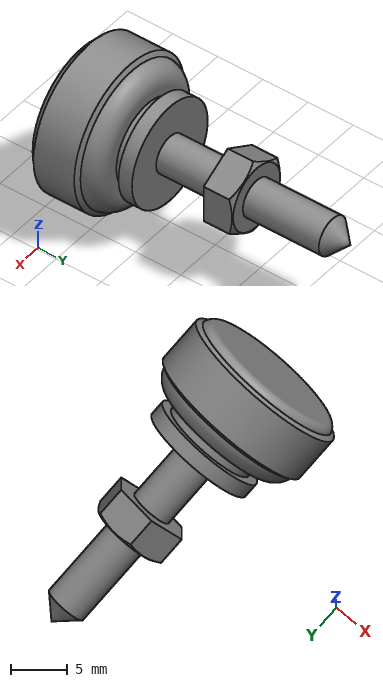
import cadquery as cq
import math


core_radius = 7.5
core_length = 7.5
end_round = 1.0
shoulder_round = 2.0

band_radius = 8.0
band_start = 0.7
band_end = 5.8
band_bevel_angle = math.radians(30)

neck_radius = 4.5
neck_length = 1.0
flange_radius = 5.5
flange_length = 1.5

stud_radius = 2.0
overall_length = 30.0

nut_sides = 6
nut_across_flats = 7.0
nut_thickness = 3.2
nut_start = 16.4
nut_bevel_angle = math.radians(30)
nut_face_radius = 3.4

neck_end = core_length + neck_length
flange_end = neck_end + flange_length
point_start = overall_length - stud_radius
nut_end = nut_start + nut_thickness

AXIS_START = (0, 0, 0)
AXIS_END = (0, 1, 0)


def revolve_about_y(outline):
    return outline.close().revolve(360, AXIS_START, AXIS_END)


def cylinder(radius, start, end):
    """Cylinder along Y between two stations."""
    return revolve_about_y(
        cq.Workplane("XY")
        .moveTo(0, start)
        .lineTo(radius, start)
        .lineTo(radius, end)
        .lineTo(0, end)
    )


def make_core():
    core = cylinder(core_radius, 0, core_length)
    core = core.faces("<Y").edges().fillet(end_round)
    return core.faces(">Y").edges().fillet(shoulder_round)


def make_band():
    bevel_length = (band_radius - core_radius) * math.tan(band_bevel_angle)

    start_radius = core_radius - end_round + math.sqrt(
        end_round**2 - (end_round - band_start) ** 2
    )
    end_radius = core_radius - shoulder_round + math.sqrt(
        shoulder_round**2 - (band_end - core_length + shoulder_round) ** 2
    )
    return revolve_about_y(
        cq.Workplane("XY")
        .moveTo(0, band_start)
        .lineTo(start_radius, band_start)
        .lineTo(band_radius, band_start + bevel_length)
        .lineTo(band_radius, band_end - bevel_length)
        .lineTo(end_radius, band_end)
        .lineTo(0, band_end)
    )


def make_stud():
    return revolve_about_y(
        cq.Workplane("XY")
        .moveTo(0, flange_end)
        .lineTo(stud_radius, flange_end)
        .lineTo(stud_radius, point_start)
        .lineTo(0, overall_length)
    )


def make_knob_screw():
    """Knob, neck, flange and stud as one solid."""
    neck = cylinder(neck_radius, core_length, neck_end)
    flange = cylinder(flange_radius, neck_end, flange_end)
    return make_core().union(make_band()).union(neck).union(flange).union(make_stud())


def make_nut():
    """Hex nut bevelled on the face toward the stud's point."""
    corner_radius = nut_across_flats / 2 / math.cos(math.pi / nut_sides)
    hexagon = (
        cq.Workplane("XZ", origin=(0, nut_end, 0))
        .polygon(nut_sides, 2 * corner_radius)
        .extrude(nut_thickness)
        .rotate(AXIS_START, AXIS_END, 180 / nut_sides)
    )
    bevel_drop = (corner_radius - nut_face_radius) * math.tan(nut_bevel_angle)
    bevel_envelope = revolve_about_y(
        cq.Workplane("XY")
        .moveTo(0, nut_start)
        .lineTo(corner_radius, nut_start)
        .lineTo(corner_radius, nut_end - bevel_drop)
        .lineTo(nut_face_radius, nut_end)
        .lineTo(0, nut_end)
    )
    bore = cylinder(stud_radius, nut_start, nut_end)
    return hexagon.intersect(bevel_envelope).cut(bore)


knob_screw = make_knob_screw()
nut = make_nut()

result = cq.Compound.makeCompound([*knob_screw.solids().vals(), *nut.solids().vals()])